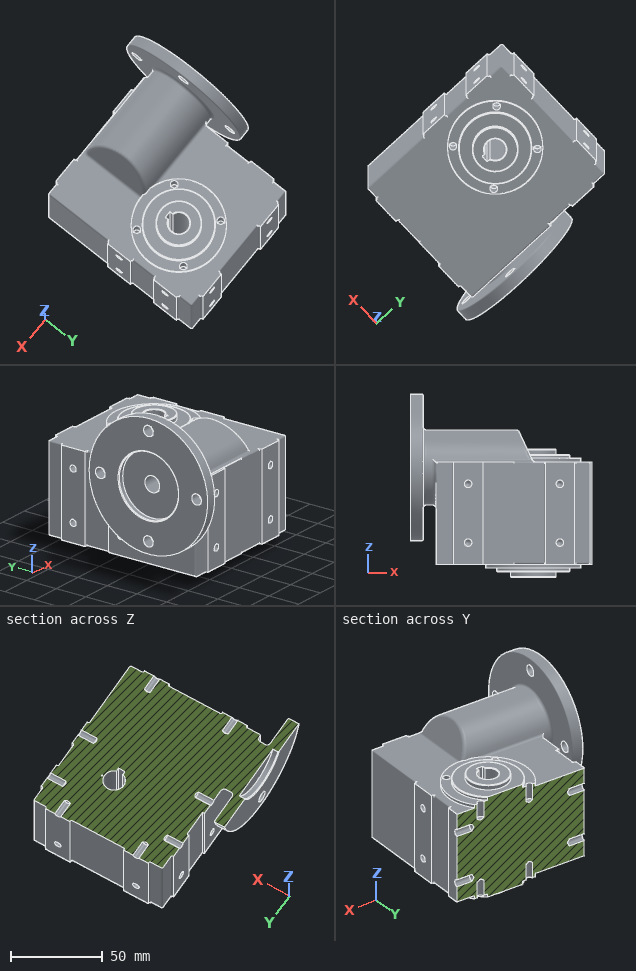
import cadquery as cq
import math


overall_x, overall_y = 99.0, 120.0

drive_y, drive_z = -45.0, 25.0
flange_dia, flange_thick = 80.0, 7.0
flange_round = 0.7
flange_blend = 1.8
flange_hole_dia, flange_hole_circle = 6.5, 65.0
spigot_dia, spigot_depth = 40.0, 3.6
spigot_chamfer = 0.5
motor_bore_dia, motor_bore_depth = 10.0, 30.0
tube_dia = 41.0
tube_slope = 25
blend = 2.0

housing_x, housing_y, housing_z = 85.1, 103.0, 56.0
pad_rise = 1.2
edge_round = 1.0

pad_width = 16.0
pad_pitch_x = 50.0
pad_pitch_y = 32.0
pad_root = 3.0
outer_flare, inner_flare = 0.8, 0.5

tap_dia, tap_depth = 4.1, 10.0
drill_point_angle = 118
tap_pitch_z = 32.0

cover_dia, boss_dia, hub_dia = 52.0, 40.0, 25.0
cover_length, boss_length, hub_length = 60.0, 64.0, 70.0
cover_hole_circle = 46.1
rim_chamfer = 0.4
bore_dia = 12.0
key_width = 4.0
key_reach = 7.8

x_max = 32.0
x_min = x_max - housing_x
flange_x = x_max - overall_x
flange_back_x = flange_x + flange_thick
y_max = drive_y - flange_dia / 2 + overall_y
y_min = y_max - housing_y
top_z = housing_z / 2
mid_x = (x_min + x_max) / 2
block_x_min, block_x_max = x_min + pad_rise, x_max - pad_rise
block_y_min, block_y_max = y_min + pad_rise, y_max - pad_rise

tolerance = 0.1


def box(x0, x1, y0, y1, z0, z1):
    """Box between opposite corners."""
    return cq.Workplane("XY").box(x1 - x0, y1 - y0, z1 - z0, centered=False).translate((x0, y0, z0))


def edges_within(low, high):
    """Selector for the edges whose centres lie between two corners."""
    return cq.selectors.BoxSelector(low, high)


def cylinder_z(diameter, length):
    """Cylinder on the output axis, centred on Z = 0."""
    return cq.Workplane("XY").circle(diameter / 2).extrude(length / 2, both=True)


def cylinder_x(diameter, x0, x1, y=drive_y, z=drive_z):
    """Cylinder parallel to X, on the drive axis unless moved."""
    return cq.Workplane("YZ", origin=(x0, y, z)).circle(diameter / 2).extrude(x1 - x0)


def countersink(diameter, chamfer, point, direction):
    """Cone that chamfers the mouth of a round hole."""
    radius = diameter / 2
    cone = cq.Solid.makeCone(radius + chamfer, radius, chamfer, cq.Vector(*point), cq.Vector(*direction))
    return cq.Workplane(cone)


def tapped_hole(point, direction):
    """Blind hole with a conical bottom, running from point along direction."""
    radius = tap_dia / 2
    tip_length = radius / math.tan(math.radians(drill_point_angle / 2))
    start, into = cq.Vector(*point), cq.Vector(*direction)
    drill = cq.Solid.makeCylinder(radius, tap_depth, start, into)
    tip = cq.Solid.makeCone(radius, 0, tip_length, start + into * tap_depth, into)
    return cq.Workplane(drill).union(cq.Workplane(tip))


def pad(outer_side):
    """Full-height pad on a face at Y = 0 that looks to +Y; outer_side is the X sign of its outer flank."""
    inner = -outer_side * pad_width / 2
    outer = outer_side * pad_width / 2
    inner_root = inner - outer_side * inner_flare
    outer_root = outer + outer_side * outer_flare
    return (
        cq.Workplane("XY")
        .moveTo(inner_root, -pad_root)
        .lineTo(inner_root, 0)
        .radiusArc((inner, inner_flare), -outer_side * inner_flare)
        .lineTo(inner, pad_rise)
        .lineTo(outer, pad_rise)
        .lineTo(outer, outer_flare)
        .radiusArc((outer_root, 0), -outer_side * outer_flare)
        .lineTo(outer_root, -pad_root)
        .close()
        .extrude(housing_z / 2, both=True)
    )


def facing(shape, degrees):
    """Turn a +Y facing shape about Z."""
    return shape.rotate((0, 0, 0), (0, 0, 1), degrees)


def make_housing():
    block = box(block_x_min, block_x_max, block_y_min, block_y_max, -top_z, top_z).edges().fillet(edge_round)

    raised_y_max = (pad_width - pad_pitch_y) / 2
    raised = box(x_min, mid_x, block_y_min, raised_y_max, -top_z, top_z)
    block = block.union(raised.edges("<X and (<Y or <Z)").fillet(edge_round))

    for side in (-1, 1):
        pad_x = mid_x + side * pad_pitch_x / 2
        pad_y = side * pad_pitch_y / 2
        block = block.union(pad(side).translate((pad_x, block_y_max, 0)))
        block = block.union(facing(pad(-side), 180).translate((pad_x, block_y_min, 0)))
        block = block.union(facing(pad(-side), -90).translate((block_x_max, pad_y, 0)))
    return block.union(facing(pad(1), 90).translate((block_x_min, pad_pitch_y / 2, 0)))


def make_input_tube():
    """Tube with a sloping end, rising out of a core that later merges into the housing."""
    slope_rise = tube_dia
    slope_run = slope_rise * math.tan(math.radians(tube_slope))
    blend_end_x = blend * math.tan(math.radians(90 - tube_slope) / 2)
    tube_radius = tube_dia / 2

    core_y_min, core_y_max = block_y_min - 3.6, -12.0
    core_x_max = 14.4
    core_bottom = -6.0
    core = box(x_min, core_x_max, core_y_min, core_y_max, core_bottom, top_z)

    beyond_slope = (
        cq.Workplane("XZ", origin=(0, drive_y, 0))
        .polyline([(0, top_z), (-slope_run, top_z + slope_rise), (0, top_z + slope_rise)])
        .close()
        .extrude(tube_dia, both=True)
    )
    tube = core.union(cylinder_x(tube_dia, flange_back_x, 0).cut(beyond_slope))

    slope_rim = edges_within(
        (-slope_run, drive_y - tube_radius, top_z + tolerance),
        (-tolerance, drive_y + tube_radius, top_z + slope_rise),
    )
    tube = tube.edges(slope_rim).fillet(blend)
    seam = edges_within(
        (x_min - tolerance, drive_y - tube_radius, core_bottom + tolerance),
        (tolerance, drive_y + tube_radius, top_z + tolerance),
    )
    tube = tube.edges(seam).fillet(blend)

    tube = tube.cut(box(flange_back_x, core_x_max, core_y_min, block_y_min, core_bottom, top_z + blend))
    tube = tube.cut(box(blend_end_x, core_x_max, block_y_min, core_y_max, core_bottom, top_z))
    front_edges = edges_within(
        (x_min - blend, block_y_min - tolerance, core_bottom + tolerance),
        (blend_end_x - tolerance, block_y_min + tolerance, top_z + tolerance),
    )
    return tube.edges(front_edges).fillet(edge_round)


def add_flange(tube):
    flange = cylinder_x(flange_dia, flange_x, flange_back_x).faces(">X").edges().fillet(flange_round)
    root = edges_within(
        (flange_back_x - tolerance, drive_y - tolerance, drive_z - tolerance),
        (flange_back_x + tolerance, drive_y + tolerance, drive_z + tolerance),
    )
    return tube.union(flange).edges(root).fillet(flange_blend)


def add_output(body):
    """Stepped covers and keyed hollow shaft, the same above and below."""
    body = body.union(cylinder_z(cover_dia, cover_length))
    body = body.union(cylinder_z(boss_dia, boss_length).edges().chamfer(rim_chamfer))
    body = body.union(cylinder_z(hub_dia, hub_length).edges().chamfer(rim_chamfer))
    body = body.cut(cylinder_z(bore_dia, hub_length))
    for end in (-1, 1):
        body = body.cut(countersink(bore_dia, rim_chamfer, (0, 0, end * hub_length / 2), (0, 0, -end)))
    keyway = box(-key_width / 2, key_width / 2, -key_reach, 0, -hub_length / 2, hub_length / 2)
    return body.cut(keyway)


def cut_tapped_holes(body):
    for side in (-1, 1):
        pad_x = mid_x + side * pad_pitch_x / 2
        pad_y = side * pad_pitch_y / 2
        for z in (-tap_pitch_z / 2, tap_pitch_z / 2):
            body = body.cut(tapped_hole((pad_x, y_min, z), (0, 1, 0)))
            body = body.cut(tapped_hole((pad_x, y_max, z), (0, -1, 0)))
            body = body.cut(tapped_hole((x_min, pad_y, z), (1, 0, 0)))
            body = body.cut(tapped_hole((x_max, pad_y, z), (-1, 0, 0)))
    for quarter in range(4):
        angle = math.radians(45 + 90 * quarter)
        x = cover_hole_circle / 2 * math.cos(angle)
        y = cover_hole_circle / 2 * math.sin(angle)
        for end in (-1, 1):
            body = body.cut(tapped_hole((x, y, end * cover_length / 2), (0, 0, -end)))
    return body


def cut_flange_details(body):
    """Spigot recess, motor shaft bore and four bolt holes."""
    body = body.cut(cylinder_x(spigot_dia, flange_x, flange_x + spigot_depth))
    body = body.cut(countersink(spigot_dia, spigot_chamfer, (flange_x, drive_y, drive_z), (1, 0, 0)))
    body = body.cut(cylinder_x(motor_bore_dia, flange_x, flange_x + motor_bore_depth))
    for quarter in range(4):
        angle = math.radians(90 * quarter)
        y = drive_y + flange_hole_circle / 2 * math.cos(angle)
        z = drive_z + flange_hole_circle / 2 * math.sin(angle)
        body = body.cut(cylinder_x(flange_hole_dia, flange_x, flange_back_x, y, z))
    return body


gearbox = make_housing().union(add_flange(make_input_tube()))
gearbox = add_output(gearbox)
gearbox = cut_tapped_holes(gearbox)
result = cut_flange_details(gearbox)